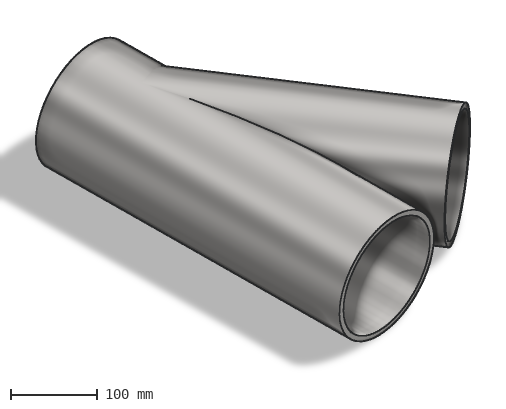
import cadquery as cq
import math

outer_diameter = 168.28
inner_diameter = 154.05
run_length = 457.2
branch_angle = 30.0
branch_offset = 88.9
branch_length = 368.3

run_direction = cq.Vector(1, 0, 0)
branch_direction = cq.Vector(
    math.cos(math.radians(branch_angle)),
    math.sin(math.radians(branch_angle)),
    0,
)
run_start = cq.Vector(0, 0, 0)
axis_crossing = cq.Vector(branch_offset, 0, 0)


def cylinder(diameter, length, start, direction):
    """Solid cylinder running from a start point along a direction."""
    return cq.Workplane(cq.Solid.makeCylinder(diameter / 2, length, start, direction))


def lateral(diameter):
    """Run and branch cylinders of one diameter, joined where their axes cross."""
    run = cylinder(diameter, run_length, run_start, run_direction)
    branch = cylinder(diameter, branch_length, axis_crossing, branch_direction)
    return run.union(branch)


result = lateral(outer_diameter).cut(lateral(inner_diameter))